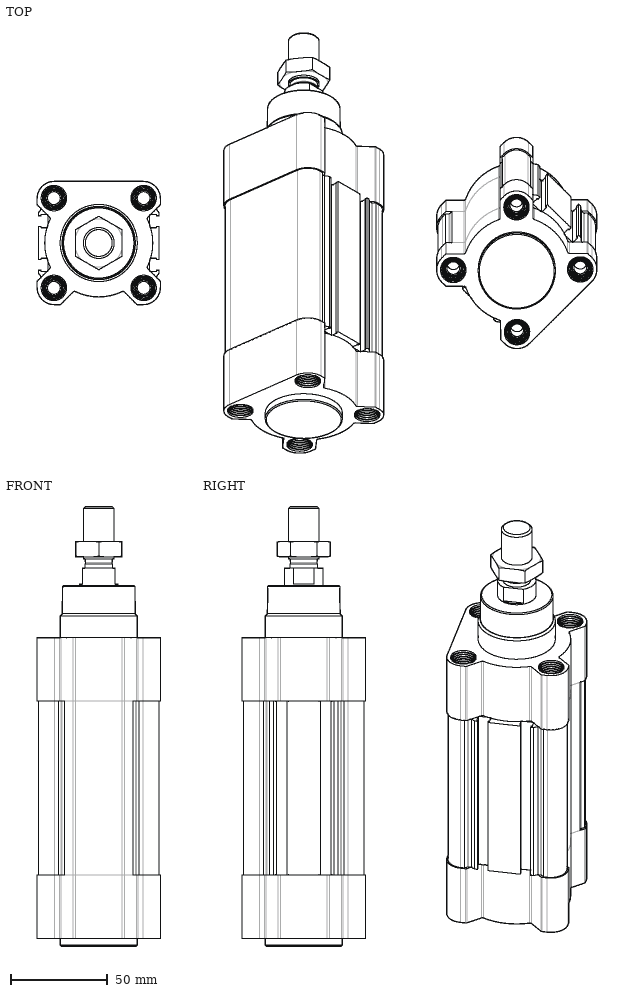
import cadquery as cq
import math

spigot_height = 4
cover_length = 33
body_length = 156
overall_height = 227.8
barrel_bottom = spigot_height + cover_length
barrel_length = body_length - 2 * cover_length
barrel_top = barrel_bottom + barrel_length
body_top = spigot_height + body_length

cover_width = 64
barrel_width = 62.6
corner_center = 23
core_radius = 28
recess_corner = 19.9
recess_corner_round = 0.85
recess_fillet = 1
recess_offset = cover_width / 2 - recess_corner
core_clearance = 5

barrel_face = barrel_width / 2
ledge_depth = 1.5
ledge_face = barrel_face - ledge_depth
ledge_outer = 20.9
ledge_inner = ledge_face - recess_offset
ledge_fillet = 0.8

rail_crest = 15.6
slot_center = 11.35
slot_mouth_width = 5.5
slot_inner_width = 6.7
slot_floor = 26.3
slot_mouth_near = slot_center - slot_mouth_width / 2
slot_mouth_far = slot_center + slot_mouth_width / 2
slot_inner_near = slot_center - slot_inner_width / 2
slot_inner_far = slot_center + slot_inner_width / 2

hole_spacing = 46.5
socket_diameters = (13.2, 12, 11.45, 10.3, 9.1, 8)
socket_step = 1
thread_core_diameter = 6.65
thread_depth = 20
drill_point_angle = 118

spigot_diameter = 40
spigot_chamfer = 0.6
collar_top = 172.4
collar_chamfer = 1.2
bumper_top = 187
bumper_base_diameter = 38
bumper_top_diameter = 37.6
bumper_chamfer = 0.6

rod_diameter = 20
rod_bottom = barrel_top
flats_width = 17
flats_bottom = bumper_top + 0.7
shoulder_top = 196
thread_diameter = 16
thread_bottom = 200.7
relief_diameter = 14.38
neck_diameter = 13.9
neck_top = 198.8
neck_bottom = 198.2
rod_tip_diameter = 13.9

nut_width = 24
nut_height = 8
nut_bottom = 201.8
nut_face_diameter = 25
nut_chamfer_angle = 15


def turned(profile):
    """Solid of revolution about Z from (radius, height) points that start and end on the axis."""
    return cq.Workplane("XZ").polyline(profile).close().revolve(360, (0, 0, 0), (0, 1, 0))


def barrel_prism(points):
    """Prism over the barrel length with the given outline."""
    return cq.Workplane("XY", origin=(0, 0, barrel_bottom)).polyline(points).close().extrude(barrel_length)


def turned_copies(shape, angles):
    """Copies of a shape turned about the Z axis."""
    return [shape.rotate((0, 0, 0), (0, 0, 1), angle) for angle in angles]


def recess_cutter(bottom, height):
    """Space outside the round core on the -Y side, between two corner posts with 45 degree flanks."""
    core_y = (recess_offset + math.sqrt(2 * core_radius**2 - recess_offset**2)) / 2
    core_x = core_y - recess_offset
    outer_y = cover_width / 2 + core_clearance
    outer_x = outer_y - recess_offset
    return (
        cq.Workplane("XY", origin=(0, 0, bottom))
        .moveTo(-outer_x, -outer_y)
        .lineTo(-core_x, -core_y)
        .threePointArc((0, -core_radius), (core_x, -core_y))
        .lineTo(outer_x, -outer_y)
        .close()
        .extrude(height)
        .edges("|Z")
        .edges(">Y")
        .fillet(recess_fillet)
    )


def relieved_block(width, bottom, height):
    """Square block with rounded corners, relieved to the round core on the -Y side and both X sides."""
    block = (
        cq.Workplane("XY", origin=(0, 0, bottom))
        .rect(width, width)
        .extrude(height)
        .edges("|Z")
        .fillet(width / 2 - corner_center)
    )
    for cutter in turned_copies(recess_cutter(bottom, height), (0, 90, -90)):
        block = block.cut(cutter)
    half = width / 2
    corner = half - recess_offset
    middle = bottom + height / 2
    for side in (-1, 1):
        for x, y in ((side * corner, -half), (side * half, -corner), (side * half, corner)):
            corner_edge = cq.selectors.NearestToPointSelector((x, y, middle))
            block = block.edges("|Z").edges(corner_edge).fillet(recess_corner_round)
    return block


def ledge_cutter():
    """Step beside the two corner posts of the -Y side."""
    foot = ledge_outer - ledge_depth
    step = (
        barrel_prism([
            (ledge_outer, -barrel_face),
            (foot, -ledge_face),
            (ledge_inner, -ledge_face),
            (ledge_inner, -barrel_face),
        ])
        .edges("|Z")
        .edges(cq.selectors.NearestToPointSelector((foot, -ledge_face, barrel_bottom + barrel_length / 2)))
        .fillet(ledge_fillet)
    )
    return step.union(step.mirror("YZ"))


def rail():
    """Hooked rail on the -X side of the barrel, next to the +Y corner post."""
    return barrel_prism([
        (-ledge_face, ledge_inner),
        (-barrel_face, rail_crest),
        (-barrel_face, slot_mouth_far),
        (-slot_floor, slot_mouth_far),
        (-slot_floor, ledge_inner),
    ])


def slot():
    """Slot between the flat pad and a rail on the -X side, wider behind its mouth."""
    return barrel_prism([
        (-ledge_face, slot_inner_near),
        (-slot_floor, slot_inner_near),
        (-slot_floor, slot_inner_far),
        (-ledge_face, slot_inner_far),
    ])


def make_barrel():
    """Profile barrel: ledges on three sides, pad with two slots and two rails on each X side."""
    barrel = relieved_block(barrel_width, barrel_bottom, barrel_length)
    for cutter in turned_copies(ledge_cutter(), (0, 90, -90)):
        barrel = barrel.cut(cutter)
    plane = cq.Workplane("XY", origin=(0, 0, barrel_bottom))
    barrel = barrel.union(plane.rect(2 * slot_floor, 2 * slot_inner_far).extrude(barrel_length))
    barrel = barrel.union(plane.rect(barrel_width, 2 * slot_mouth_near).extrude(barrel_length))
    rails = rail().union(rail().mirror("XZ"))
    slots = slot().union(slot().mirror("XZ"))
    return barrel.union(rails).union(rails.mirror("YZ")).cut(slots).cut(slots.mirror("YZ"))


def screw_socket():
    """Stepped blind socket below the origin, ending in a drill point."""
    point_depth = thread_core_diameter / 2 / math.tan(math.radians(drill_point_angle / 2))
    profile = [(0, 0)]
    depth = 0
    for diameter in socket_diameters:
        profile.append((diameter / 2, -depth))
        depth += socket_step
        profile.append((diameter / 2, -depth))
    profile += [
        (thread_core_diameter / 2, -depth),
        (thread_core_diameter / 2, -thread_depth),
        (0, -thread_depth - point_depth),
    ]
    return turned(profile)


def turned_core():
    """Rear spigot, core of the housing, front collar and bumper as one turned shape."""
    spigot_radius = spigot_diameter / 2
    return turned([
        (0, 0),
        (spigot_radius - spigot_chamfer, 0),
        (spigot_radius, spigot_chamfer),
        (spigot_radius, collar_top - collar_chamfer),
        (spigot_radius - collar_chamfer, collar_top),
        (bumper_base_diameter / 2, collar_top),
        (bumper_top_diameter / 2, bumper_top - bumper_chamfer),
        (bumper_top_diameter / 2 - bumper_chamfer, bumper_top),
        (0, bumper_top),
    ])


def make_housing():
    """Covers, barrel, spigots and bumper as one body, bored for the rod."""
    ends = turned_core()
    for bottom in (spigot_height, barrel_top):
        ends = ends.union(relieved_block(cover_width, bottom, cover_length))
    top_socket = screw_socket().translate((0, 0, body_top))
    bottom_socket = screw_socket().mirror("XY").translate((0, 0, spigot_height))
    for x in (-hole_spacing / 2, hole_spacing / 2):
        for y in (-hole_spacing / 2, hole_spacing / 2):
            ends = ends.cut(top_socket.translate((x, y, 0)))
            ends = ends.cut(bottom_socket.translate((x, y, 0)))
    bore = cq.Workplane("XY", origin=(0, 0, rod_bottom)).circle(rod_diameter / 2)
    ends = ends.cut(bore.extrude(bumper_top - rod_bottom))
    return ends.union(make_barrel(), clean=False)


def make_rod():
    """Piston rod with wrench flats, a necked relief and the end thread's outer cylinder."""
    rod_radius = rod_diameter / 2
    thread_radius = thread_diameter / 2
    tip_chamfer = (thread_diameter - rod_tip_diameter) / 2
    rod = turned([
        (0, rod_bottom),
        (rod_radius, rod_bottom),
        (rod_radius, shoulder_top),
        (relief_diameter / 2, shoulder_top),
        (relief_diameter / 2, neck_bottom),
        (neck_diameter / 2, neck_bottom),
        (neck_diameter / 2, neck_top),
        (relief_diameter / 2, thread_bottom),
        (thread_radius, thread_bottom),
        (thread_radius, overall_height - tip_chamfer),
        (rod_tip_diameter / 2, overall_height),
        (0, overall_height),
    ])
    flats_length = shoulder_top - flats_bottom
    flats_zone = cq.Workplane("XY", origin=(0, 0, flats_bottom)).rect(rod_diameter, rod_diameter)
    flats_core = cq.Workplane("XY", origin=(0, 0, flats_bottom)).rect(flats_width, rod_diameter)
    return rod.cut(flats_zone.extrude(flats_length).cut(flats_core.extrude(flats_length)))


def make_nut():
    """Hexagon nut with flats facing X, both faces chamfered at the corners."""
    corner_radius = nut_width / math.sqrt(3)
    face_radius = nut_face_diameter / 2
    chamfer_height = (corner_radius - face_radius) * math.tan(math.radians(nut_chamfer_angle))
    nut_top = nut_bottom + nut_height
    hexagon = (
        cq.Workplane("XY", origin=(0, 0, nut_bottom))
        .transformed(rotate=(0, 0, 90))
        .polygon(6, 2 * corner_radius)
        .extrude(nut_height)
    )
    envelope = turned([
        (0, nut_bottom),
        (face_radius, nut_bottom),
        (corner_radius, nut_bottom + chamfer_height),
        (corner_radius, nut_top - chamfer_height),
        (face_radius, nut_top),
        (0, nut_top),
    ])
    bore = cq.Workplane("XY", origin=(0, 0, nut_bottom)).circle(thread_diameter / 2).extrude(nut_height)
    return hexagon.intersect(envelope).cut(bore)


housing = make_housing()
rod = make_rod()
nut = make_nut()

result = cq.Compound.makeCompound([housing.val(), rod.val(), nut.val()])